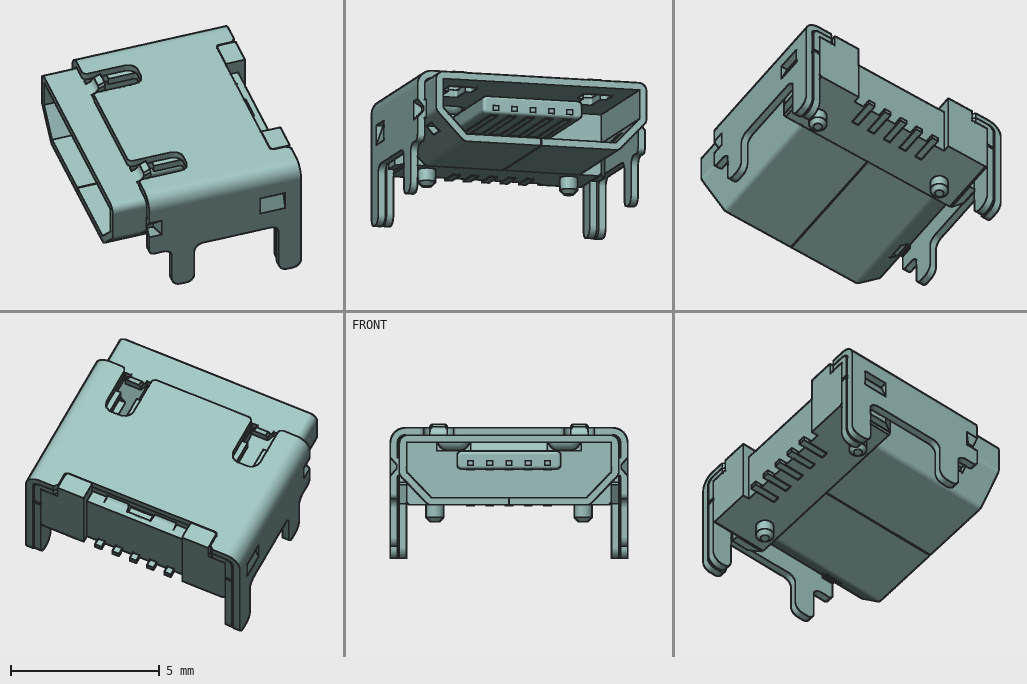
import cadquery as cq
import math


outer_width = 8.0
total_depth = 6.6
sheet = 0.25
pick = 0.01

inner_half_width = 3.7
inner_height = 2.35
inner_corner_radius = 0.27
slant_run = 0.98
slant_rise = 1.02
slant_edge_radius = 0.24
seam_width = 0.03
cavity_half_width = inner_half_width - sheet
cavity_top = inner_height - sheet
flank_bottom = 0.76
inner_leg_width = 0.77
inner_leg_radius = 0.37
hook_window_front = 5.4
hook_window_length = 0.64
hook_window_low = 0.54
hook_window_high = 0.82

outer_half_width = outer_width / 2
inner_face = outer_half_width - sheet
outer_top = inner_height + sheet
outer_depth = 5.41
outer_corner_radius = 0.51
side_bottom = 0.2
side_corner_radius = 0.18
leg_root_radius = 0.3
leg_tip_radius = 0.3
leg_width = 0.8
rear_leg_depth = 1.8
front_leg_depth = 1.4
front_leg_start = 3.8
notch_half_width = 2.85
notch_depth = 0.7
notch_corner_radius = 0.12
notch_flare = 0.13

spring_x = 2.37
spring_width = 0.59
spring_tip = 4.9
spring_top = 2.72
spring_bend_start = 5.4
spring_bend_radius = 0.27
spring_chamfer = 0.07
slot_width = 1.01
slot_start = 3.58
slot_step = 4.58
inner_slot_end = 5.38
slot_corner_radius = 0.35
narrow_slot_radius = 0.07
slot_step_radius = 0.08
slot_flare = 0.16

dimple_start = 4.96
dimple_low = 0.98
dimple_high = 1.6
dimple_recess = 0.22
dimple_slope = 0.24
lance_start = 0.58
lance_end = 1.46
lance_low = 0.93
lance_high = 1.54
lance_window_top = 1.6
lance_lean = 0.22
lance_clearance = 0.02

housing_front = 2.1
housing_recess = 0.25
block_inner_x = 1.84
block_outer_x = 2.82
block_gap = 0.02
bottom_chamfer = 0.08
peg_x = 2.5
peg_y = 1.46
peg_diameter = 0.6
peg_length = 0.58
peg_chamfer = 0.15
wing_start = 1.03
wing_full = 1.7
wing_bottom = 0.03
wing_top = 0.67
tongue_half_width = 1.74
tongue_top = 1.81
upper_step = 1.82
tongue_bottom = 1.21
tongue_front = 5.6
tongue_corner_radius = 0.14
tongue_edge_radius = 0.1
ramp_half_width = 1.3
hump_foot = 0.46
hump_rise = 0.1
groove_half_width = 0.41
groove_top_half_width = 0.5
groove_depth = 0.06
pocket_outer_x = 2.44
pocket_length = 0.72

boss_x = 1.86
boss_straight = 0.39
boss_radius = 0.35
boss_depth = 0.26

contact_pitch = 0.65
contact_count = 5
contact_width = 0.25
contact_thickness = 0.16
contact_nose_width = 0.2
contact_nose_bottom = 1.33
contact_nose_length = 0.24
contact_beam_bottom = 1.18
contact_tail_bottom = -0.03
contact_tail_length = 0.98


def box(x_range, y_range, z_range):
    """Axis-aligned block between the given limits."""
    (x0, x1), (y0, y1), (z0, z1) = x_range, y_range, z_range
    return cq.Workplane("XY").box(x1 - x0, y1 - y0, z1 - z0, centered=False).translate((x0, y0, z0))


def both_sides(shape):
    """The shape together with its mirror image across X = 0."""
    return shape.union(shape.mirror("YZ"))


def leg(start, width, depth, top, inner_x, tip_radius):
    """Rounded soldering leg; start is its distance from the rear end."""
    outline = cq.Workplane("YZ").moveTo(-start, top).lineTo(-start, -depth)
    outline = outline.lineTo(-start - width, -depth).lineTo(-start - width, top).close()
    plate = outline.extrude(sheet).translate((inner_x, 0, 0))
    return plate.edges("|X and <Z").fillet(tip_radius)


def rear_notch():
    """Cutter for the notch in the rear edge of both shells."""
    notch = box((-notch_half_width, notch_half_width), (-notch_depth, 0), (cavity_top, outer_top))
    notch = notch.edges("|Z and <Y").fillet(notch_corner_radius)
    flare = (
        cq.Workplane("XY")
        .moveTo(notch_half_width, 0)
        .lineTo(notch_half_width + notch_flare, 0)
        .lineTo(notch_half_width, -notch_flare)
        .close()
        .extrude(outer_top)
    )
    return notch.union(both_sides(flare))


def slot(start, end, width, corner_radius, z_range):
    """Cutter for a slot at the +X spring, rounded at its rear end."""
    cutter = box((spring_x - width / 2, spring_x + width / 2), (-end, -start), z_range)
    return cutter.edges("|Z and >Y").fillet(corner_radius)


def dimple_bump():
    """Metal pressed inward until it touches the inner shell."""
    return box((inner_half_width, inner_face), (-outer_depth, -dimple_start), (dimple_low, dimple_high))


def dimple_recess_cutter():
    """Hollow on the outside of the dimple, sloping on three sides and open to the front."""
    middle_z = (dimple_low + dimple_high) / 2
    width = dimple_high - dimple_low
    length = 2 * (outer_depth - dimple_start)
    return (
        cq.Workplane("YZ", origin=(outer_half_width, -outer_depth, middle_z))
        .rect(length, width)
        .workplane(offset=-dimple_recess)
        .rect(length - 2 * dimple_slope, width - 2 * dimple_slope)
        .loft()
    )


def lance():
    """Tongue attached at its lower edge and leaning inward."""
    outline = (
        cq.Workplane("XZ")
        .moveTo(outer_half_width, lance_low)
        .lineTo(outer_half_width - lance_lean, lance_high)
        .lineTo(inner_face - lance_lean, lance_high)
        .lineTo(inner_face, lance_low)
        .close()
    )
    return outline.extrude(lance_end - lance_start).translate((0, -lance_start, 0))


def make_outer_shell():
    arch = (
        box((-outer_half_width, outer_half_width), (-outer_depth, 0), (side_bottom, outer_top))
        .edges("|Y and >Z")
        .fillet(outer_corner_radius)
    )
    hollow = (
        box((-inner_face, inner_face), (-outer_depth, 0), (side_bottom, inner_height))
        .edges("|Y and >Z")
        .fillet(outer_corner_radius - sheet)
    )
    shell = arch.cut(hollow)
    shell = shell.edges("|X and <Y and <Z").fillet(side_corner_radius)

    front_leg_end = front_leg_start + leg_width
    front_leg = leg(front_leg_start, leg_width, front_leg_depth, side_bottom, inner_face, leg_tip_radius)
    rear_leg = leg(0, leg_width, rear_leg_depth, side_bottom, inner_face, leg_tip_radius)
    shell = shell.union(both_sides(front_leg.union(rear_leg)))
    for root_y in (-leg_width, -front_leg_start, -front_leg_end):
        at_root = cq.selectors.BoxSelector(
            (-outer_width, root_y - pick, side_bottom - pick),
            (outer_width, root_y + pick, side_bottom + pick),
        )
        shell = shell.edges("|X").edges(at_root).fillet(leg_root_radius)

    shell = shell.cut(rear_notch())
    spring_slot = slot(slot_start, outer_depth, slot_width, slot_corner_radius, (inner_height, outer_top))
    shell = shell.cut(both_sides(spring_slot))
    for slot_middle in (-spring_x, spring_x):
        for corner_x in (slot_middle - slot_width / 2, slot_middle + slot_width / 2):
            at_corner = cq.selectors.BoxSelector(
                (corner_x - pick, -outer_depth - pick, inner_height),
                (corner_x + pick, -outer_depth + pick, outer_top),
            )
            shell = shell.edges("|Z").edges(at_corner).fillet(slot_flare)

    shell = shell.union(both_sides(dimple_bump())).cut(both_sides(dimple_recess_cutter()))
    window = box(
        (inner_face, outer_half_width), (-lance_end, -lance_start), (lance_low, lance_window_top)
    )
    return shell.cut(both_sides(window)).union(both_sides(lance()))


def tube_outline(inset):
    """Trapezoidal outline of the tube, moved inward by the inset on every side."""
    half_width = inner_half_width - inset
    slant_angle = math.atan2(slant_rise, slant_run)
    corner_z = slant_rise + inset * math.tan((math.pi / 2 - slant_angle) / 2)
    floor_x = inner_half_width - slant_run - inset * math.tan(slant_angle / 2)
    points = [
        (half_width, inner_height - inset),
        (half_width, corner_z),
        (floor_x, inset),
        (-floor_x, inset),
        (-half_width, corner_z),
        (-half_width, inner_height - inset),
    ]
    return cq.Workplane("XZ").polyline(points).close()


def spring():
    """Tongue that curves up from the inner shell's top and ends in a hook facing the rear."""
    arc_offset = spring_bend_radius * math.sin(math.radians(45))
    bend_end = -spring_bend_start + spring_bend_radius
    shoulder = inner_height + spring_bend_radius
    bend_middle = (-spring_bend_start + arc_offset, shoulder - arc_offset)
    tongue = (
        cq.Workplane("YZ")
        .moveTo(-spring_bend_start, inner_height)
        .threePointArc(bend_middle, (bend_end, shoulder))
        .lineTo(-spring_tip, spring_top)
        .lineTo(-spring_tip, spring_top - sheet)
        .lineTo(-spring_bend_start, cavity_top)
        .close()
        .extrude(spring_width / 2, both=True)
        .translate((spring_x, 0, 0))
    )
    hook_sides = cq.selectors.BoxSelector(
        (0, bend_end + pick, shoulder), (outer_width, -spring_tip - pick, spring_top)
    )
    return tongue.edges(hook_sides).chamfer(spring_chamfer)


def boss():
    """Oblong dome under the top, with a straight middle and ball ends."""
    centre_z = cavity_top - boss_depth + boss_radius
    centre_y = -housing_front + boss_radius
    straight_end = boss_straight / 2
    reach = straight_end + boss_radius
    round_offset = boss_radius * math.cos(math.radians(45))
    capsule = (
        cq.Workplane("XY")
        .moveTo(-reach, 0)
        .threePointArc((-straight_end - round_offset, round_offset), (-straight_end, boss_radius))
        .lineTo(straight_end, boss_radius)
        .threePointArc((straight_end + round_offset, round_offset), (reach, 0))
        .close()
        .revolve(360, (0, 0), (1, 0))
        .translate((boss_x, centre_y, centre_z))
    )
    below_top = box(
        (boss_x - reach, boss_x + reach),
        (centre_y - boss_radius, centre_y + boss_radius),
        (cavity_top - boss_depth, cavity_top + sheet / 2),
    )
    return capsule.intersect(below_top)


def make_inner_shell():
    slanted_part = (
        (-outer_half_width, -total_depth, -sheet),
        (outer_half_width, 0, inner_height / 2),
    )
    tube = tube_outline(0).extrude(total_depth)
    tube = tube.edges("|Y and >Z").fillet(inner_corner_radius)
    tube = tube.edges("|Y").edges(cq.selectors.BoxSelector(*slanted_part)).fillet(slant_edge_radius)
    shell = tube.cut(tube_outline(sheet).extrude(total_depth))

    below_flanks = box(
        (-outer_half_width, outer_half_width), (-housing_front, 0), (0, slant_rise + sheet)
    )
    flank = box((cavity_half_width, inner_half_width), (-housing_front, 0), (flank_bottom, inner_height / 2))
    rear_leg = leg(
        0, inner_leg_width, rear_leg_depth, inner_height / 2, cavity_half_width, inner_leg_radius
    )
    shell = shell.cut(below_flanks).union(both_sides(flank.union(rear_leg)))

    shell = shell.cut(box((-seam_width / 2, seam_width / 2), (-total_depth, 0), (0, sheet)))
    shell = shell.cut(rear_notch())

    through_top = (cavity_top, inner_height)
    narrow = slot(slot_start, inner_slot_end, spring_width, narrow_slot_radius, through_top)
    wide = slot(slot_step, inner_slot_end, slot_width, slot_step_radius, through_top)
    shell = shell.cut(both_sides(narrow.union(wide))).union(both_sides(spring())).union(both_sides(boss()))

    lance_window = box(
        (cavity_half_width, inner_half_width),
        (-lance_end - lance_clearance, -lance_start + lance_clearance),
        (lance_low - lance_clearance, lance_window_top),
    )
    hook_window = box(
        (inner_half_width - slant_run, inner_half_width),
        (-hook_window_front, -hook_window_front + hook_window_length),
        (hook_window_low, hook_window_high),
    )
    return shell.cut(both_sides(lance_window.union(hook_window)))


def wing():
    """Rib below the inner shell's side wall, tapered towards the front."""
    outline = [
        (cavity_half_width, -wing_start),
        (inner_half_width, -wing_start),
        (inner_half_width, -wing_full),
        (cavity_half_width, -housing_front),
    ]
    rib = cq.Workplane("XY").polyline(outline).close().extrude(wing_top - wing_bottom)
    return rib.translate((0, 0, wing_bottom))


def tongue():
    """Carrier of the contacts, rounded along its length and around its front end."""
    bar = box(
        (-tongue_half_width, tongue_half_width),
        (-tongue_front, -housing_front),
        (tongue_bottom, tongue_top),
    )
    return bar.edges("|Y").fillet(tongue_corner_radius).faces("<Y").edges().fillet(tongue_edge_radius)


def ramp_cutter():
    """Space above the 45 degree ramp behind the root of the tongue."""
    ramp_end = -housing_front + cavity_top - upper_step
    outline = [(-housing_front, upper_step), (ramp_end, cavity_top), (-housing_front, cavity_top)]
    return cq.Workplane("YZ").polyline(outline).close().extrude(ramp_half_width, both=True)


def hump():
    """Hump on the rear of the housing that curves up towards the edge of the inner shell's top."""
    foot = (-hump_foot, cavity_top)
    crest = (-notch_depth, cavity_top + hump_rise)
    run = notch_depth - hump_foot
    radius = (run**2 + hump_rise**2) / (2 * hump_rise)
    half_angle = math.asin(run / radius) / 2
    arc_middle = (
        -hump_foot - radius * math.sin(half_angle),
        cavity_top + radius * (1 - math.cos(half_angle)),
    )
    outline = cq.Workplane("YZ").moveTo(*foot).threePointArc(arc_middle, crest)
    return outline.lineTo(-notch_depth, cavity_top).close().extrude(ramp_half_width, both=True)


def hump_groove():
    """Flat-bottomed groove with sloping sides that divides the hump."""
    outline = [
        (-groove_half_width, cavity_top - groove_depth),
        (groove_half_width, cavity_top - groove_depth),
        (groove_top_half_width, cavity_top + hump_rise),
        (-groove_top_half_width, cavity_top + hump_rise),
    ]
    groove = cq.Workplane("XZ").polyline(outline).close().extrude(notch_depth - hump_foot)
    return groove.translate((0, -hump_foot, 0))


def peg():
    """Locating peg for the circuit board."""
    pin = cq.Workplane("XY").circle(peg_diameter / 2).extrude(-peg_length).faces("<Z").chamfer(peg_chamfer)
    return pin.translate((peg_x, -peg_y, 0))


def make_housing(contacts):
    body = box((-cavity_half_width, cavity_half_width), (-housing_front, 0), (0, cavity_top))
    body = body.edges("|Y and <Z").chamfer(bottom_chamfer)
    block = box((block_inner_x, block_outer_x), (-notch_depth + block_gap, 0), (0, outer_top))
    block = block.edges("|Z and <Y and >X").fillet(notch_corner_radius)
    body = body.union(hump()).cut(hump_groove()).union(both_sides(block))
    body = body.cut(box((-block_inner_x, block_inner_x), (-housing_recess, 0), (0, outer_top)))

    boss_pocket = box(
        (ramp_half_width, pocket_outer_x),
        (-housing_front, -housing_front + pocket_length),
        (upper_step, cavity_top),
    )
    body = body.cut(ramp_cutter()).cut(both_sides(boss_pocket))

    body = body.union(tongue()).union(both_sides(wing().union(peg())))
    for contact in contacts:
        body = body.cut(contact)
    return body


def make_contact(x):
    """Contact with a narrow nose, a beam under the tongue, and a soldering tail at the rear."""
    beam_top = contact_beam_bottom + contact_thickness
    nose_top = contact_nose_bottom + contact_thickness
    tail_top = contact_tail_bottom + contact_thickness
    nose_end = -tongue_front + contact_nose_length
    outline = [
        (0, contact_tail_bottom),
        (0, tail_top),
        (-contact_tail_length + contact_thickness, tail_top),
        (-contact_tail_length + contact_thickness, beam_top),
        (nose_end + contact_thickness, beam_top),
        (nose_end + contact_thickness, nose_top),
        (nose_end, nose_top),
        (nose_end, contact_beam_bottom),
        (-contact_tail_length, contact_beam_bottom),
        (-contact_tail_length, contact_tail_bottom),
    ]
    strip = cq.Workplane("YZ").polyline(outline).close().extrude(contact_width / 2, both=True)
    nose = box(
        (-contact_nose_width / 2, contact_nose_width / 2),
        (-tongue_front, nose_end),
        (contact_nose_bottom, nose_top),
    )
    return strip.union(nose).translate((x, 0, 0))


first_contact_x = -(contact_count - 1) / 2 * contact_pitch
contacts = [make_contact(first_contact_x + i * contact_pitch) for i in range(contact_count)]
outer_shell = make_outer_shell()
inner_shell = make_inner_shell()
housing = make_housing(contacts)

result = cq.Compound.makeCompound(
    [outer_shell.val(), inner_shell.val(), housing.val(), *[contact.val() for contact in contacts]]
)